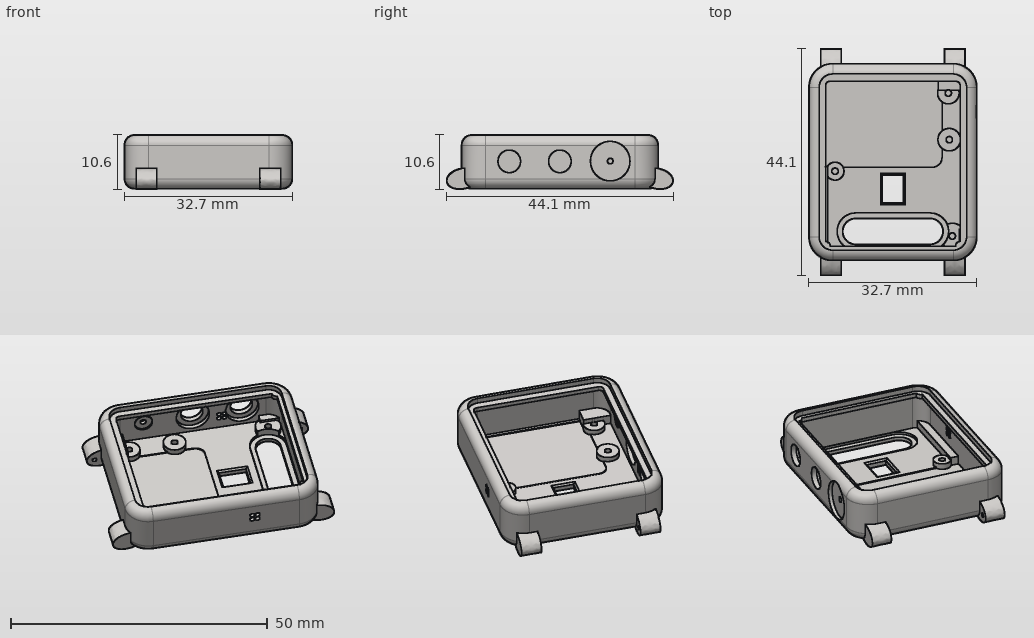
import cadquery as cq
import math

CASE_WIDTH = 32.7
CASE_LENGTH = 38.3
CASE_HEIGHT = 10.5
CASE_CORNER_RADIUS = 4.6
EDGE_ROUNDING = 2.0
WALL = 2.0
FLOOR_TOP = 1.3
CAVITY_WIDTH = CASE_WIDTH - 2 * WALL
CAVITY_LENGTH = CASE_LENGTH - 2 * WALL
CAVITY_CORNER_RADIUS = CASE_CORNER_RADIUS - WALL
INNER_WALL_X = CAVITY_WIDTH / 2
INNER_WALL_Y = CAVITY_LENGTH / 2
OUTER_WALL_X = CASE_WIDTH / 2

RIM_RECESS_DEPTH = 1.1
LIP_THICKNESS = 0.9
LIP_TOP = CASE_HEIGHT - RIM_RECESS_DEPTH
LIP_BOTTOM = LIP_TOP - LIP_THICKNESS
OPENING_WIDTH = 26.2
OPENING_LENGTH = 32.05
OPENING_Y = -0.32
OPENING_CORNER_RADIUS = 0.8
CORNER_TAB_DIAMETER = 1.8

LUG_TIP_Y = 22.045
LUG_HALF_LENGTH = 3.14
LUG_HALF_THICKNESS = 2.0
LUG_TILT = 12.0
LUG_WIDTH = 4.05
LUG_X = 12.05
LUG_BOTTOM = -0.08
LUG_REACH_Y = math.hypot(
    LUG_HALF_LENGTH * math.cos(math.radians(LUG_TILT)),
    LUG_HALF_THICKNESS * math.sin(math.radians(LUG_TILT)),
)
LUG_REACH_Z = math.hypot(
    LUG_HALF_LENGTH * math.sin(math.radians(LUG_TILT)),
    LUG_HALF_THICKNESS * math.cos(math.radians(LUG_TILT)),
)
LUG_CENTER_Y = LUG_TIP_Y - LUG_REACH_Y
LUG_CENTER_Z = LUG_BOTTOM + LUG_REACH_Z
PIN_HOLE_DIAMETER = 0.8
PIN_HOLE_DEPTH = 2.5
PIN_HOLE_Y = 20.5
PIN_HOLE_Z = 1.65

POCKET_DEPTH = 0.2
POCKET_RIGHT_X = 9.57
POCKET_FRONT_Y = -1.0
POCKET_BACK_MARGIN = 0.65
POCKET_CORNER_RADIUS = 1.9
POCKET_BACK_Y = INNER_WALL_Y - POCKET_BACK_MARGIN

BOSSES = [
    (10.8, 13.43, 4.2),
    (10.97, 4.36, 4.4),
    (-11.26, -1.77, 3.5),
    (11.58, -14.4, 5.0),
]
BOSS_TOP = 2.3
SCREW_HOLE_DIAMETER = 1.25
SCREW_HOLE_BOTTOM = 0.8

BLOCK_LEFT_X = 8.83
BLOCK_FRONT_Y = 14.02
BLOCK_TOP = 3.25
RAIL_TOP = 2.8
LEFT_RAIL_X = -12.67
LEFT_RAIL_BACK_Y = -0.9
RIGHT_RAIL_X = 12.88
RIGHT_RAIL_BACK_Y = -13.1

WINDOW_Y = -5.25
WINDOW_WIDTH = 4.1
WINDOW_LENGTH = 5.4
WINDOW_CHAMFER = 0.35
SLOT_Y = -13.5
SLOT_LENGTH = 19.5
SLOT_DIAMETER = 5.0
SLOT_STEP_MARGIN = 1.1
SLOT_STEP_DEPTH = 0.5

VENT_DIAMETER = 0.9
SOCKET_DIAMETER = 0.8
SOCKET_DEPTH = 1.5
VENT_PITCH = 1.05
VENT_Y = -5.75
VENT_Z = 5.57
SOCKET_Z = 4.2
PORT_Y = [0.0, -9.85]
PORT_Z = 5.35
PORT_DIAMETER = 4.4
PORT_RECESS_DIAMETER = 6.6
PORT_RECESS_DEPTH = 0.9
BUTTON_Y = 9.8
BUTTON_Z = 5.4
BUTTON_RECESS_DIAMETER = 7.7
BUTTON_RECESS_DEPTH = 0.8
BUTTON_SEAT_DIAMETER = 3.5
BUTTON_SEAT_DEPTH = 0.3
BUTTON_HOLE_DIAMETER = 1.1


def box_between(x_range, y_range, z_range):
    """Box from two limits along each axis, in any order."""
    x_min, x_max = sorted(x_range)
    y_min, y_max = sorted(y_range)
    z_min, z_max = sorted(z_range)
    box = cq.Workplane("XY").box(x_max - x_min, y_max - y_min, z_max - z_min, centered=False)
    return box.translate((x_min, y_min, z_min))


def rounded_block(width, length, radius, z_min, z_max):
    """Upright block with rounded vertical edges, centred on X = Y = 0."""
    block = cq.Workplane("XY").workplane(offset=z_min).rect(width, length).extrude(z_max - z_min)
    return block.edges("|Z").fillet(radius)


def cylinder_x(x_start, x_end, y, z, diameter):
    """Cylinder along X between two X positions."""
    plane = cq.Workplane("YZ", origin=(x_start, 0, 0))
    return plane.center(y, z).circle(diameter / 2).extrude(x_end - x_start)


def cylinder_z(x, y, z_min, z_max, diameter):
    """Cylinder along Z between two heights."""
    plane = cq.Workplane("XY", origin=(x, y, z_min))
    return plane.circle(diameter / 2).extrude(z_max - z_min)


def outer_case():
    """Solid case with rounded top and bottom edges."""
    block = rounded_block(CASE_WIDTH, CASE_LENGTH, CASE_CORNER_RADIUS, 0, CASE_HEIGHT)
    return block.faces("<Z or >Z").edges().fillet(EDGE_ROUNDING)


def cavity_block(z_min, z_max):
    """Block that fills the inside of the side walls between two heights."""
    return rounded_block(CAVITY_WIDTH, CAVITY_LENGTH, CAVITY_CORNER_RADIUS, z_min, z_max)


def lug(x_side, y_side):
    """One strap lug, its outer end tilted down."""
    plane = cq.Workplane("YZ", origin=(x_side * LUG_X - LUG_WIDTH / 2, 0, 0))
    plane = plane.center(y_side * LUG_CENTER_Y, LUG_CENTER_Z)
    profile = plane.ellipse(LUG_HALF_LENGTH, LUG_HALF_THICKNESS, rotation_angle=-y_side * LUG_TILT)
    return profile.extrude(LUG_WIDTH)


def pin_hole(x_side, y_side):
    """Blind spring-bar hole in the face of a lug that looks to the middle."""
    inner_face_x = x_side * (LUG_X - LUG_WIDTH / 2)
    hole_end_x = inner_face_x + x_side * PIN_HOLE_DEPTH
    return cylinder_x(inner_face_x, hole_end_x, y_side * PIN_HOLE_Y, PIN_HOLE_Z, PIN_HOLE_DIAMETER)


def lip_opening():
    """Opening in the lip: round back corners, front corners filled by quarter-round tabs."""
    plane = cq.Workplane("XY", origin=(0, OPENING_Y, LIP_BOTTOM))
    opening = plane.rect(OPENING_WIDTH, OPENING_LENGTH).extrude(LIP_THICKNESS)
    opening = opening.edges("|Z and >Y").fillet(OPENING_CORNER_RADIUS)
    tab_y = OPENING_Y - OPENING_LENGTH / 2
    for tab_x in (-OPENING_WIDTH / 2, OPENING_WIDTH / 2):
        opening = opening.cut(cylinder_z(tab_x, tab_y, LIP_BOTTOM, LIP_TOP, CORNER_TAB_DIAMETER))
    return opening


def hollow_space():
    """Cavity, lip opening and rim recess in one solid."""
    space = cavity_block(FLOOR_TOP, LIP_BOTTOM)
    space = space.union(lip_opening())
    return space.union(cavity_block(LIP_TOP, CASE_HEIGHT))


def floor_pocket():
    """Shallow pocket in the back left of the floor, one corner rounded."""
    pocket = box_between(
        (-INNER_WALL_X, POCKET_RIGHT_X),
        (POCKET_FRONT_Y, POCKET_BACK_Y),
        (FLOOR_TOP - POCKET_DEPTH, FLOOR_TOP),
    )
    pocket = pocket.edges("|Z and >X and <Y").fillet(POCKET_CORNER_RADIUS)
    return pocket.intersect(cavity_block(0, FLOOR_TOP))


def floor_fittings():
    """Bosses, stop block and side rails, trimmed to the cavity."""
    base = FLOOR_TOP - POCKET_DEPTH
    fittings = box_between((BLOCK_LEFT_X, INNER_WALL_X), (BLOCK_FRONT_Y, INNER_WALL_Y), (base, BLOCK_TOP))
    for x, y, diameter in BOSSES:
        fittings = fittings.union(cylinder_z(x, y, base, BOSS_TOP, diameter))
    for wall_x, rail_x, back_y in (
        (-INNER_WALL_X, LEFT_RAIL_X, LEFT_RAIL_BACK_Y),
        (INNER_WALL_X, RIGHT_RAIL_X, RIGHT_RAIL_BACK_Y),
    ):
        rail = box_between((wall_x, rail_x), (-INNER_WALL_Y, back_y), (base, RAIL_TOP))
        fittings = fittings.union(rail)
    return fittings.intersect(cavity_block(base, LIP_BOTTOM))


def window_cut():
    """Rectangular window through the floor, chamfered at the floor surface."""
    window = cq.Workplane("XY").rect(WINDOW_WIDTH, WINDOW_LENGTH).extrude(FLOOR_TOP)
    rim = cq.Workplane("XY").workplane(offset=FLOOR_TOP - WINDOW_CHAMFER)
    rim = rim.rect(WINDOW_WIDTH, WINDOW_LENGTH).workplane(offset=WINDOW_CHAMFER)
    rim = rim.rect(WINDOW_WIDTH + 2 * WINDOW_CHAMFER, WINDOW_LENGTH + 2 * WINDOW_CHAMFER)
    return window.union(rim.loft(ruled=True)).translate((0, WINDOW_Y, 0))


def slot_cut():
    """Round-ended slot through the floor with a wider recess above it."""
    slot = cq.Workplane("XY").slot2D(SLOT_LENGTH, SLOT_DIAMETER).extrude(FLOOR_TOP)
    step_growth = 2 * SLOT_STEP_MARGIN
    step = cq.Workplane("XY").workplane(offset=FLOOR_TOP - SLOT_STEP_DEPTH)
    step = step.slot2D(SLOT_LENGTH + step_growth, SLOT_DIAMETER + step_growth)
    step = step.extrude(BOSS_TOP - FLOOR_TOP + SLOT_STEP_DEPTH).translate((0, SLOT_Y, 0))
    step = step.intersect(cavity_block(0, BOSS_TOP))
    return slot.translate((0, SLOT_Y, 0)).union(step)


def hole_group(x_start, x_end, z_center, diameter):
    """Two by two group of small holes along X."""
    plane = cq.Workplane("YZ", origin=(x_start, 0, 0)).center(VENT_Y, z_center)
    return plane.rarray(VENT_PITCH, VENT_PITCH, 2, 2).circle(diameter / 2).extrude(x_end - x_start)


def left_vents():
    """Small holes through the left wall."""
    return hole_group(-OUTER_WALL_X, -INNER_WALL_X, VENT_Z, VENT_DIAMETER)


def right_sockets():
    """Small blind holes in the inside of the right wall."""
    return hole_group(INNER_WALL_X, INNER_WALL_X + SOCKET_DEPTH, SOCKET_Z, SOCKET_DIAMETER)


def port(y):
    """Round port through the right wall with a recess on the inside."""
    recess_end_x = INNER_WALL_X + PORT_RECESS_DEPTH
    hole = cylinder_x(INNER_WALL_X, OUTER_WALL_X, y, PORT_Z, PORT_DIAMETER)
    return hole.union(cylinder_x(INNER_WALL_X, recess_end_x, y, PORT_Z, PORT_RECESS_DIAMETER))


def button_seat():
    """Button hole in the right wall, recessed on both sides."""
    seat_end_x = INNER_WALL_X + BUTTON_SEAT_DEPTH
    recess_start_x = OUTER_WALL_X - BUTTON_RECESS_DEPTH
    hole = cylinder_x(INNER_WALL_X, OUTER_WALL_X, BUTTON_Y, BUTTON_Z, BUTTON_HOLE_DIAMETER)
    seat = cylinder_x(INNER_WALL_X, seat_end_x, BUTTON_Y, BUTTON_Z, BUTTON_SEAT_DIAMETER)
    recess = cylinder_x(recess_start_x, OUTER_WALL_X, BUTTON_Y, BUTTON_Z, BUTTON_RECESS_DIAMETER)
    return hole.union(seat).union(recess)


LUG_SIDES = [(x_side, y_side) for x_side in (-1, 1) for y_side in (-1, 1)]

result = outer_case()
for x_side, y_side in LUG_SIDES:
    result = result.union(lug(x_side, y_side))
result = result.cut(hollow_space())
for x_side, y_side in LUG_SIDES:
    result = result.cut(pin_hole(x_side, y_side))

result = result.cut(floor_pocket())
result = result.union(floor_fittings())
for boss_x, boss_y, _ in BOSSES:
    result = result.cut(cylinder_z(boss_x, boss_y, SCREW_HOLE_BOTTOM, LIP_BOTTOM, SCREW_HOLE_DIAMETER))
result = result.cut(window_cut())
result = result.cut(slot_cut())

result = result.cut(left_vents())
result = result.cut(right_sockets())
for port_y in PORT_Y:
    result = result.cut(port(port_y))
result = result.cut(button_seat())